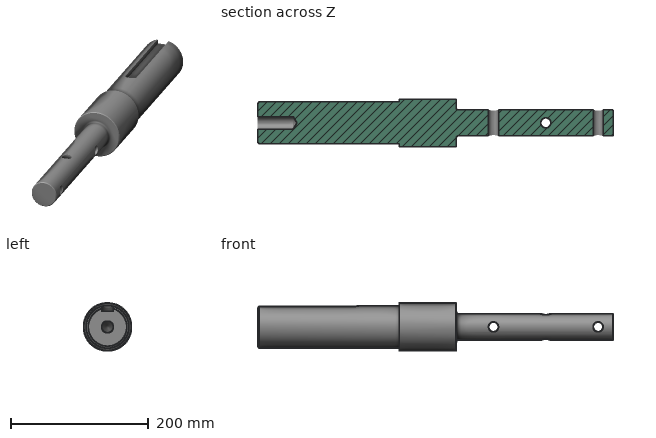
import cadquery as cq
import math

total_length = 517.5
shoulder_x = 206.0
collar_end_x = 289.5

keyed_diameter = 62.0
collar_diameter = 70.0
stem_diameter = 38.5

keyed_chamfer_length = 2.0
keyed_chamfer_depth = 3.0
collar_chamfer = 1.0
stem_root_fillet = 2.5
stem_chamfer = 1.0

keyway_width = 17.0
keyway_length = 148.0
keyway_floor_z = 23.0

end_hole_diameter = 17.0
end_hole_depth = 52.0
drill_point_angle = 118.0

cross_hole_diameter = 14.0
first_cross_hole_x = 343.0
cross_hole_pitch = 76.0


def make_body():
    """Revolve the stepped half profile about X."""
    keyed_radius = keyed_diameter / 2
    collar_radius = collar_diameter / 2
    stem_radius = stem_diameter / 2
    fillet_center_x = collar_end_x + stem_root_fillet
    fillet_center_y = stem_radius + stem_root_fillet
    diagonal = stem_root_fillet * math.sqrt(0.5)
    return (
        cq.Workplane("XY")
        .moveTo(0, 0)
        .lineTo(0, keyed_radius - keyed_chamfer_depth)
        .lineTo(keyed_chamfer_length, keyed_radius)
        .lineTo(shoulder_x, keyed_radius)
        .lineTo(shoulder_x, collar_radius)
        .lineTo(collar_end_x - collar_chamfer, collar_radius)
        .lineTo(collar_end_x, collar_radius - collar_chamfer)
        .lineTo(collar_end_x, fillet_center_y)
        .threePointArc(
            (fillet_center_x - diagonal, fillet_center_y - diagonal),
            (fillet_center_x, stem_radius),
        )
        .lineTo(total_length - stem_chamfer, stem_radius)
        .lineTo(total_length, stem_radius - stem_chamfer)
        .lineTo(total_length, 0)
        .close()
        .revolve(360, (0, 0, 0), (1, 0, 0))
    )


def make_keyway():
    half_width = keyway_width / 2
    arc_center_x = keyway_length - half_width
    return (
        cq.Workplane("XY", origin=(0, 0, keyway_floor_z))
        .moveTo(0, -half_width)
        .lineTo(arc_center_x, -half_width)
        .threePointArc((keyway_length, 0), (arc_center_x, half_width))
        .lineTo(0, half_width)
        .close()
        .extrude(keyed_diameter / 2)
    )


def make_end_hole():
    """Blind hole on the axis with a conical drill tip."""
    radius = end_hole_diameter / 2
    tip_length = radius / math.tan(math.radians(drill_point_angle / 2))
    return (
        cq.Workplane("XY")
        .moveTo(0, 0)
        .lineTo(0, radius)
        .lineTo(end_hole_depth, radius)
        .lineTo(end_hole_depth + tip_length, 0)
        .close()
        .revolve(360, (0, 0, 0), (1, 0, 0))
    )


def make_cross_hole(x, plane):
    return (
        cq.Workplane(plane, origin=(x, 0, 0))
        .circle(cross_hole_diameter / 2)
        .extrude(stem_diameter, both=True)
    )


result = make_body().cut(make_keyway()).cut(make_end_hole())
for index, plane in enumerate(("XZ", "XY", "XZ")):
    hole_x = first_cross_hole_x + index * cross_hole_pitch
    result = result.cut(make_cross_hole(hole_x, plane))